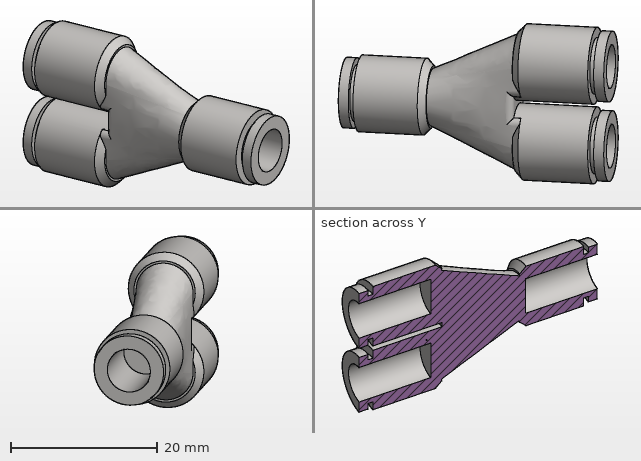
import cadquery as cq
import math

length = 37.1
height = 21.8
body_diameter = 10.57
body_radius = body_diameter / 2
branch_offset = (height - body_diameter) / 2

collar_radius = 4.85
collar_end = 1.4
groove_radius = 3.9
groove_end = 2.15
branch_length = 12.9
outlet_length = 12.13
chamfer = 1.0
bore_radius = 3.0
bore_depth = outlet_length - chamfer

web_radius = 3.97
web_side_height = 3.23

notch_half_height = 1.5
notch_round = 1.0


def port(end):
    """Solid port from its open end at X = 0 to its chamfered back at X = end."""
    profile = [
        (0, 0),
        (0, collar_radius),
        (collar_end, collar_radius),
        (collar_end, groove_radius),
        (groove_end, groove_radius),
        (groove_end, body_radius),
        (end - chamfer, body_radius),
        (end, body_radius - chamfer),
        (end, 0),
    ]
    return cq.Workplane("XY").polyline(profile).close().revolve(360, (0, 0, 0), (1, 0, 0))


def bore():
    """Blind tube socket of a port whose open end is at X = 0."""
    return cq.Workplane("YZ").circle(bore_radius).extrude(bore_depth)


def branches(shape):
    """Copies of a port shape on the upper and lower branch axes."""
    return [shape.translate((0, 0, side * branch_offset)) for side in (1, -1)]


def outlet(shape):
    """Port shape turned round to open at the +X end."""
    return shape.rotate((0, 0, 0), (0, 0, 1), 180).translate((length, 0, 0))


def web():
    """Obround root between the branches, blended into a circle at the outlet."""
    root_height = 2 * (branch_offset + web_radius)
    root = (
        cq.Workplane("YZ", origin=(branch_length - chamfer, 0, 0))
        .slot2D(root_height, 2 * web_radius, 90)
        .extrude(chamfer)
    )
    side_y = math.sqrt(web_radius**2 - web_side_height**2)
    blend = (
        cq.Workplane("YZ", origin=(branch_length, 0, 0))
        .moveTo(web_radius, -branch_offset)
        .lineTo(web_radius, branch_offset)
        .threePointArc((0, branch_offset + web_radius), (-web_radius, branch_offset))
        .lineTo(-web_radius, -branch_offset)
        .threePointArc((0, -branch_offset - web_radius), (web_radius, -branch_offset))
        .close()
        .workplane(offset=length - outlet_length - branch_length)
        .moveTo(side_y, -web_side_height)
        .threePointArc((web_radius, 0), (side_y, web_side_height))
        .threePointArc((0, web_radius), (-side_y, web_side_height))
        .threePointArc((-web_radius, 0), (-side_y, -web_side_height))
        .threePointArc((0, -web_radius), (side_y, -web_side_height))
        .close()
        .loft(ruled=True, combine=True)
    )
    return root.union(blend)


def notch_cutter():
    """Material to remove for a three-sided notch with rounded rims on both sides."""
    start = branch_length - 2 * chamfer
    end = branch_length + notch_round
    half_height = notch_half_height + notch_round

    def block(x_end, half_z, half_y):
        """Block from the notch start to x_end, centred in Y and Z."""
        size = (x_end - start, 2 * half_y, 2 * half_z)
        return cq.Workplane("XY").box(*size, centered=(False, True, True)).translate((start, 0, 0))

    opening = block(branch_length, notch_half_height, 2 * web_radius)
    frame = block(end + notch_round, half_height + notch_round, web_radius).cut(opening)
    rim_region = cq.selectors.BoxSelector(
        (start, -2 * web_radius, -half_height),
        (end, 2 * web_radius, half_height),
    )
    frame = frame.faces("<Y or >Y").edges(rim_region).fillet(notch_round)
    cutter = block(end, half_height, 2 * web_radius).cut(frame)

    cylinder = cq.Workplane("YZ").circle(body_radius).extrude(branch_length)
    for body in branches(cylinder):
        cutter = cutter.cut(body.intersect(opening))
    return cutter


result = web().cut(notch_cutter())
for solid_port in branches(port(branch_length)) + [outlet(port(outlet_length))]:
    result = result.union(solid_port)
for socket in branches(bore()) + [outlet(bore())]:
    result = result.cut(socket)